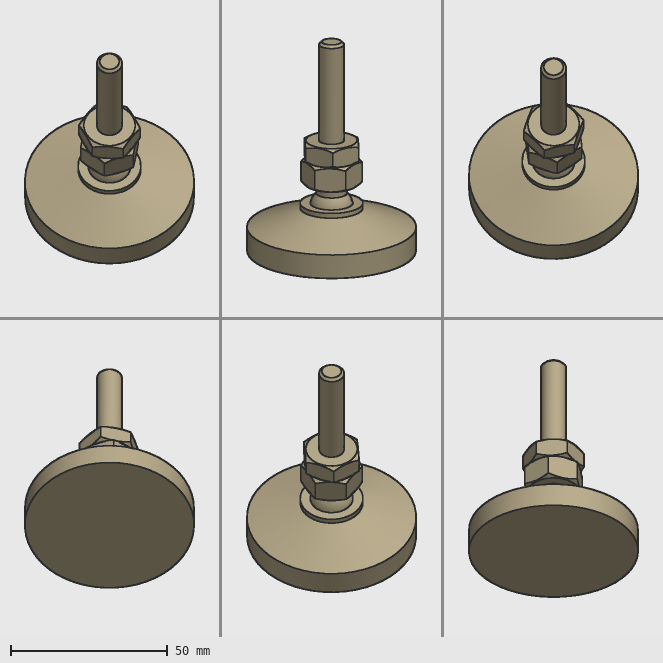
import cadquery as cq
import math

foot_radius = 27.01
rim_height = 8.0
cone_top = 14.4
collar_radius = 10.0
collar_top = 16.0

ball_radius = 7.0
neck_radius = 4.95
neck_bottom = 19.4
ball_center = neck_bottom - math.sqrt(ball_radius**2 - neck_radius**2)
rod_radius = 4.0
rod_top = 70.6
rod_tip_chamfer = 0.9

across_flats = 17.0
chamfer_circle_radius = 8.2
chamfer_angle = 30.0
stud_hex_bottom = 22.5
nut_bottom = 30.8
nut_top = 37.3
stud_hex_turn = -5.7
nut_turn = 30.0


def chamfered_hexagon(bottom, top, turn):
    """Hexagonal prism with conically chamfered corners at both ends."""
    corner_radius = across_flats / math.sqrt(3)
    corner_drop = (corner_radius - chamfer_circle_radius) * math.tan(math.radians(chamfer_angle))
    prism = (
        cq.Workplane("XY")
        .workplane(offset=bottom)
        .polygon(6, 2 * corner_radius)
        .extrude(top - bottom)
        .rotate((0, 0, 0), (0, 0, 1), turn)
    )
    envelope = (
        cq.Workplane("XZ")
        .moveTo(0, bottom)
        .lineTo(chamfer_circle_radius, bottom)
        .lineTo(corner_radius, bottom + corner_drop)
        .lineTo(corner_radius, top - corner_drop)
        .lineTo(chamfer_circle_radius, top)
        .lineTo(0, top)
        .close()
        .revolve(360, (0, 0, 0), (0, 1, 0))
    )
    return prism.intersect(envelope)


def cylinder(radius, bottom, top):
    """Upright cylinder on the Z axis."""
    return cq.Workplane("XY").workplane(offset=bottom).circle(radius).extrude(top - bottom)


def make_ball():
    """Sphere at the foot of the stud, also the shape of its socket."""
    return cq.Workplane("XY").sphere(ball_radius).translate((0, 0, ball_center))


def make_foot():
    """Conical foot plate with a collar around the ball socket."""
    blank = (
        cq.Workplane("XZ")
        .lineTo(foot_radius, 0)
        .lineTo(foot_radius, rim_height)
        .lineTo(collar_radius, cone_top)
        .lineTo(collar_radius, collar_top)
        .lineTo(0, collar_top)
        .close()
        .revolve(360, (0, 0, 0), (0, 1, 0))
    )
    return blank.cut(make_ball())


def make_stud():
    """Ball-ended stud with a neck, a wrench hexagon and a chamfered rod."""
    neck = cylinder(neck_radius, ball_center, stud_hex_bottom)
    hexagon = chamfered_hexagon(stud_hex_bottom, nut_bottom, stud_hex_turn)
    rod = cylinder(rod_radius, nut_bottom, rod_top).faces(">Z").chamfer(rod_tip_chamfer)
    return make_ball().union(neck).union(hexagon).union(rod)


def make_lock_nut():
    """Hexagonal nut that rests on the stud hexagon and fits the rod."""
    bore = cylinder(rod_radius, nut_bottom, nut_top)
    return chamfered_hexagon(nut_bottom, nut_top, nut_turn).cut(bore)


foot = make_foot()
stud = make_stud()
lock_nut = make_lock_nut()

result = cq.Compound.makeCompound([foot.solids().val(), stud.solids().val(), lock_nut.solids().val()])